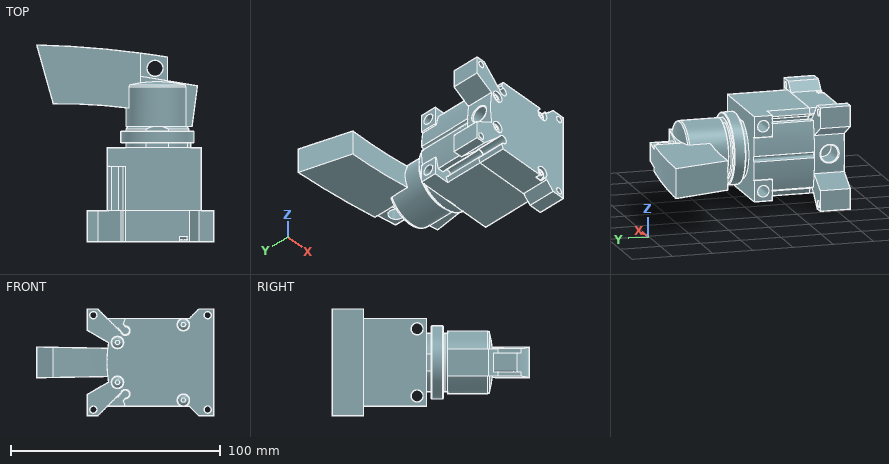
import cadquery as cq
import math


plate_top = 15.0
block_top = 45.0
collar_bottom = 47.1
collar_top = 53.0
neck_top = 55.0
knob_shoulder = 74.0
dome_edge = 74.9
dome_apex = 76.8

plate_left = -33.5
plate_right = 27.0
plate_half_height = 25.5
plate_hole_inset = 3.0
plate_hole_dia = 3.3
left_arm_width = 5.1
left_arm_inner_z = 15.3
arm_root_x = -23.4
arm_root_z = 9.4
right_arm_width = 7.2
port_dia = 8.57
port_rim_dia = 9.6
port_depth = 12.0
port_y = 7.5

screw_places = [(-19.0, 9.5), (12.4, 18.0)]
counterbore_dia = 6.0
counterbore_depth = 2.65
relief_width = 3.5
screw_head_dia = 5.5
screw_head_height = 1.65
screw_crown_dia = 3.0
screw_crown_bulge = 0.3
socket_width = 2.0
socket_depth = 1.2

block_left = -24.0
block_right = 21.0
half_height = 21.0
bow_radius = 65.0
ear_height = 9.0
ear_inner_z = 10.5
ear_hole_z = 16.0
ear_hole_dia = 5.6
ledge_z = 16.4
ledge_end_x = -18.6
center_groove_dia = 2.7

groove_x = -15.25
groove_z = 15.1
plate_groove_dia = 4.5
block_groove_dia = 3.8
lip_top_x = -15.25
lip_tip_x = -16.3
lip_tip_z = 18.3

neck_dia = 30.0
neck_tip_dia = 28.38
neck_chamfer_height = 1.2
neck_flats = 28.0
key_reach = 16.0
key_width = 8.0
collar_dia = 35.0
collar_chamfer = 0.4

knob_dia = 30.0
dome_dia = 29.4
tip_half_thickness = 7.4
taper_angle = 1.0
lever_tip_x = -57.6
lever_tip_y = 94.0
lever_crest_mid = (-26.0, 92.15)
lever_heel = (-49.65, 65.8)
lever_belly_mid = (-30.0, 65.33)
lever_root = (-13.0, 63.7)
step_x = -8.0
lug_right = 4.9
lug_crest_y = 88.2
lug_half_thickness = 4.5
lug_edge_radius = 0.7
lug_hole = (-1.1, 82.8)
lug_hole_dia = 7.5
wing_back_y = 79.0
wing_corner = (19.2, 74.5)
wing_foot_x = 16.6
wing_half_thickness = 6.4


def prism(points, bottom, top):
    """Extrude a closed (x, z) outline from Y = bottom to Y = top."""
    return cq.Workplane("XZ", origin=(0, bottom, 0)).polyline(points).close().extrude(bottom - top)


def rod(x, z, dia, bottom, top):
    """Cylinder along Y between two heights."""
    return cq.Workplane("XZ", origin=(x, bottom, z)).circle(dia / 2).extrude(bottom - top)


def bow_limit(bottom, top):
    """Large cylinder whose -X side is the shallow bow between the arms and ears."""
    return rod(block_left + bow_radius, 0, 2 * bow_radius, bottom, top)


def with_mirror(shape):
    """The shape together with its mirror image below Z = 0."""
    return shape.union(shape.mirror("XY"))


def corner_groove(dia, mouth, bottom, top):
    """Round groove with its open mouth; mouth is the outer (x, z) path from groove to top face."""
    path = [(groove_x, groove_z)] + mouth + [
        (lip_top_x, half_height),
        (lip_tip_x, lip_tip_z),
        (groove_x, groove_z + dia / 2),
    ]
    return with_mirror(prism(path, bottom, top).union(rod(groove_x, groove_z, dia, bottom, top)))


def tangent_foot():
    """Point where a 45 degree line touches the lower left of the block groove."""
    reach = block_groove_dia / 2 * math.sqrt(0.5)
    return groove_x - reach, groove_z - reach


def plate_blank():
    slope_x = plate_left + left_arm_width
    slope_run = plate_half_height - half_height
    right_x = plate_right - right_arm_width
    upper = [
        (arm_root_x, arm_root_z),
        (plate_left, left_arm_inner_z),
        (plate_left, plate_half_height),
        (slope_x, plate_half_height),
        (slope_x + slope_run, half_height),
        (right_x - slope_run, half_height),
        (right_x, plate_half_height),
        (plate_right, plate_half_height),
    ]
    lower = [(x, -z) for x, z in reversed(upper)]
    blank = prism(upper + lower, 0, plate_top)
    bow_front = prism(
        [(block_left, -arm_root_z), (block_left, arm_root_z), (0, arm_root_z), (0, -arm_root_z)],
        0, plate_top)
    return blank.union(bow_front.intersect(bow_limit(0, plate_top)))


def port():
    """Threaded air port in the -X face with a bevelled rim."""
    face = cq.Workplane("YZ", origin=(block_left, port_y, 0))
    rim_depth = (port_rim_dia - port_dia) / 2
    rim = face.circle(port_rim_dia / 2).workplane(offset=rim_depth).circle(port_dia / 2).loft()
    return face.circle(port_dia / 2).extrude(port_depth).union(rim)


def screw_head():
    """Button head with a hexagon socket, its crown facing -Y, at X = Z = 0."""
    top = counterbore_depth - screw_head_height
    head_radius = screw_head_dia / 2
    crown_radius = screw_crown_dia / 2
    bulge_x = head_radius - screw_crown_bulge * (head_radius - crown_radius)
    bulge_y = top + screw_crown_bulge * screw_head_height
    head = (
        cq.Workplane("XY")
        .moveTo(0, top)
        .lineTo(crown_radius, top)
        .threePointArc((bulge_x, bulge_y), (head_radius, counterbore_depth))
        .lineTo(0, counterbore_depth)
        .close()
        .revolve(360, (0, 0, 0), (0, 1, 0))
    )
    socket_corner_dia = socket_width / math.cos(math.pi / 6)
    socket = (
        cq.Workplane("XZ", origin=(0, top, 0))
        .polygon(6, socket_corner_dia)
        .extrude(-socket_depth)
    )
    return head.cut(socket)


def relief_slot(x, from_z, to_z):
    """Slot that opens a counterbore to the nearby long side of the plate."""
    left = x - relief_width / 2
    right = x + relief_width / 2
    outline = [(left, from_z), (left, to_z), (right, to_z), (right, from_z)]
    return prism(outline, 0, counterbore_depth)


def make_plate():
    plate = plate_blank()
    slope_sum = plate_left + left_arm_width + plate_half_height
    slope_foot_z = groove_z - plate_groove_dia / 4
    mouth = [
        (slope_sum - slope_foot_z, slope_foot_z),
        (slope_sum - half_height, half_height),
    ]
    plate = plate.cut(corner_groove(plate_groove_dia, mouth, 0, plate_top))
    plate = plate.cut(port())
    hole_z = plate_half_height - plate_hole_inset
    for x in (plate_left + plate_hole_inset, plate_right - plate_hole_inset):
        for side in (1, -1):
            plate = plate.cut(rod(x, side * hole_z, plate_hole_dia, 0, plate_top))
    for x, z in screw_places:
        for side in (1, -1):
            plate = plate.cut(rod(x, side * z, counterbore_dia, 0, counterbore_depth))
            if z + counterbore_dia / 2 >= half_height:
                plate = plate.cut(relief_slot(x, side * z, side * half_height))
            plate = plate.union(screw_head().translate((x, 0, side * z)))
    return plate


def block_blank():
    box = prism(
        [(block_left, -half_height), (block_left, half_height),
         (block_right, half_height), (block_right, -half_height)],
        plate_top, block_top)
    bowed = box.intersect(bow_limit(plate_top, block_top))
    ear = prism(
        [(block_left, ear_inner_z), (block_left, half_height), (0, half_height), (0, ear_inner_z)],
        block_top - ear_height, block_top)
    ledge_cut = corner_groove(
        block_groove_dia,
        [tangent_foot(), (ledge_end_x, ledge_z), (block_left, ledge_z), (block_left, half_height)],
        plate_top, block_top - ear_height)
    return bowed.union(with_mirror(ear)).cut(ledge_cut)


def neck():
    """Threaded neck with two flats and a bevelled end."""
    radius = neck_dia / 2
    tip_radius = neck_tip_dia / 2
    turned = (
        cq.Workplane("XY")
        .polyline([(0, block_top), (radius, block_top), (radius, neck_top - neck_chamfer_height),
                   (tip_radius, neck_top), (0, neck_top)])
        .close()
        .revolve(360, (0, 0, 0), (0, 1, 0))
    )
    height = neck_top - block_top
    return turned.intersect(
        cq.Workplane("XY").box(neck_dia, height, neck_flats).translate((0, block_top + height / 2, 0)))


def make_block():
    block = block_blank().union(neck())
    key = prism(
        [(0, -key_width / 2), (0, key_width / 2),
         (key_reach, key_width / 2), (key_reach, -key_width / 2)],
        block_top, collar_bottom)
    block = block.union(key)
    block = block.cut(rod(block_left, 0, center_groove_dia, plate_top, block_top))
    ear_hole_y = block_top - ear_height / 2
    ear_holes = (
        cq.Workplane("YZ", origin=(block_left, 0, 0))
        .pushPoints([(ear_hole_y, ear_hole_z), (ear_hole_y, -ear_hole_z)])
        .circle(ear_hole_dia / 2)
        .extrude(block_right - block_left)
    )
    return block.cut(ear_holes)


def make_collar():
    ring = rod(0, 0, collar_dia, collar_bottom, collar_top).edges().chamfer(collar_chamfer)
    return ring.cut(rod(0, 0, neck_dia, collar_bottom, collar_top))


def slab(sketch, half_thickness):
    """Extrude an XY sketch equally to both sides of Z = 0."""
    return sketch.extrude(half_thickness, both=True)


def knob_body():
    """Turned knob with a bevelled rim and a shallow spherical dome."""
    radius = knob_dia / 2
    dome_radius = dome_dia / 2
    drop = dome_apex - dome_edge
    sphere_radius = (dome_radius ** 2 + drop ** 2) / (2 * drop)
    mid_r = dome_radius / 2
    mid_y = dome_apex - sphere_radius + math.sqrt(sphere_radius ** 2 - mid_r ** 2)
    return (
        cq.Workplane("XY")
        .moveTo(0, neck_top)
        .lineTo(radius, neck_top)
        .lineTo(radius, knob_shoulder)
        .lineTo(dome_radius, dome_edge)
        .threePointArc((mid_r, mid_y), (0, dome_apex))
        .close()
        .revolve(360, (0, 0, 0), (0, 1, 0))
    )


def arm_profile():
    """Side outline of the lever with its lug."""
    return (
        cq.Workplane("XY")
        .moveTo(lever_tip_x, lever_tip_y)
        .threePointArc(lever_crest_mid, (lug_right, lug_crest_y))
        .lineTo(lug_right, lever_root[1])
        .lineTo(*lever_root)
        .threePointArc(lever_belly_mid, lever_heel)
        .close()
    )


def taper_wedge():
    """Trapezoid that thins the lever from its tip toward the knob."""
    end_half = tip_half_thickness - (step_x - lever_tip_x) * math.tan(math.radians(taper_angle))
    return prism(
        [(lever_tip_x, tip_half_thickness), (step_x, end_half),
         (step_x, -end_half), (lever_tip_x, -tip_half_thickness)],
        neck_top, lever_tip_y)


def wing():
    """Plate that carries on from the lever through the knob to its +X side."""
    outline = [(step_x, neck_top), (step_x, wing_back_y), wing_corner, (wing_foot_x, neck_top)]
    return slab(cq.Workplane("XY").polyline(outline).close(), wing_half_thickness)


def make_knob():
    arm = slab(arm_profile(), tip_half_thickness).intersect(taper_wedge())
    lug = slab(arm_profile(), lug_half_thickness).faces(">X").edges("|Y").fillet(lug_edge_radius)
    hole = slab(cq.Workplane("XY").center(*lug_hole).circle(lug_hole_dia / 2), tip_half_thickness)
    return lug.cut(hole).union(arm).union(wing()).union(knob_body())


plate = make_plate()
block = make_block()
collar = make_collar()
knob = make_knob()

result = cq.Compound.makeCompound([plate.val(), block.val(), collar.val(), knob.val()])